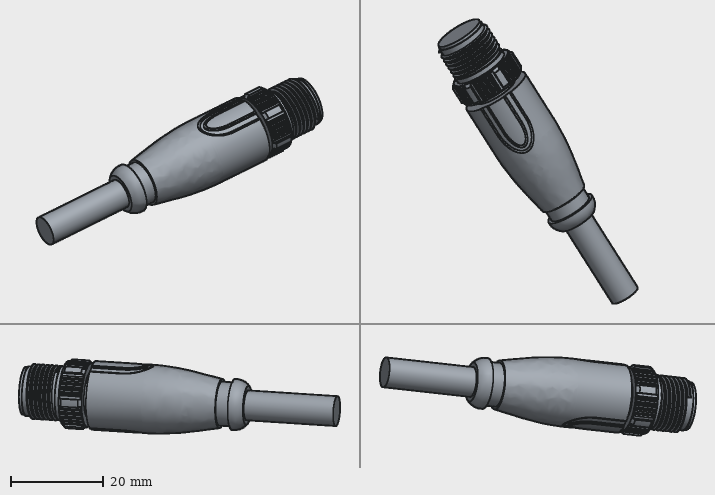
import cadquery as cq
import math

TOTAL_LENGTH = 69.7

NOSE_RADIUS = 5.2
NOSE_END = 0.7
THREAD_ROOT_RADIUS = 5.45
THREAD_CREST_RADIUS = 6.0
THREAD_START = 1.6
THREAD_LENGTH = 6.3
THREAD_TURNS = 6.3
THREAD_PITCH = THREAD_LENGTH / THREAD_TURNS
THREAD_ROOT_HALF_WIDTH = 0.4
THREAD_CREST_HALF_WIDTH = 0.1
THREAD_EMBED = 0.15
COLLAR_START = 8.15
COLLAR_RADIUS = 5.9

NUT_START = 9.3
NUT_END = 14.4
PAD_RADIUS = 7.6
RIB_RADIUS = 7.1
GROOVE_RADIUS = 6.8
NUT_CHAMFER = 0.7
PAD_COUNT = 6
PAD_HALF_ANGLE = 6.5
GROOVE_ANGLES = (15, 25, 35, 45)
GROOVE_TOP_HALF_ANGLE = 3.3
GROOVE_FLOOR_HALF_ANGLE = 0.9

NECK_RADIUS = 4.8
GRIP_START = 15.55
GRIP_DIAMETER = 15.0
GRIP_RADIUS = GRIP_DIAMETER / 2
GRIP_STRAIGHT_END = 27.9
GRIP_TAPER_START = 37.65
GRIP_TAPER_RADIUS = 6.55
GRIP_END = 43.85
GRIP_END_RADIUS = 5.4
RING_START = 46.7
RING_RADIUS = 5.6
RING_MIDDLE = 48.7
RING_MIDDLE_RADIUS = 5.15
RING_END = 49.8
RING_END_RADIUS = 4.25
CABLE_RADIUS = 3.3

BADGE_STRAIGHT = 7.0
BADGE_OVERRUN = 0.7
MOAT_DEPTH = 0.3
MOAT_HALF_WIDTH = 3.8
MOAT_LENGTH = 13.25
MOAT_SLOPE_HEIGHT = 0.2
MOAT_SLOPE_WIDTH = 0.5
STEP_DEPTH = 0.105
STEP_HALF_WIDTH = 2.4
STEP_LENGTH = 12.0
PANEL_HALF_WIDTH = 1.95
PANEL_LENGTH = 11.4


def make_turned_core():
    """Nose, collar, neck, grip, strain-relief ring and cable as one revolved profile."""
    grip_taper = [
        (GRIP_TAPER_RADIUS, -GRIP_TAPER_START),
        (GRIP_END_RADIUS, -GRIP_END),
    ]
    grip_end_slope = (GRIP_END_RADIUS - GRIP_TAPER_RADIUS, GRIP_TAPER_START - GRIP_END)
    return (
        cq.Workplane("XY")
        .lineTo(NOSE_RADIUS, 0)
        .lineTo(NOSE_RADIUS, -NOSE_END)
        .lineTo(THREAD_ROOT_RADIUS, -NOSE_END)
        .lineTo(THREAD_ROOT_RADIUS, -COLLAR_START)
        .lineTo(COLLAR_RADIUS, -COLLAR_START)
        .lineTo(COLLAR_RADIUS, -NUT_START)
        .lineTo(NECK_RADIUS, -NUT_START)
        .lineTo(NECK_RADIUS, -GRIP_START)
        .lineTo(GRIP_RADIUS, -GRIP_START)
        .lineTo(GRIP_RADIUS, -GRIP_STRAIGHT_END)
        .spline(grip_taper, tangents=[(0, -1), grip_end_slope], includeCurrent=True)
        .lineTo(NECK_RADIUS, -GRIP_END)
        .lineTo(NECK_RADIUS, -RING_START)
        .lineTo(RING_RADIUS, -RING_START)
        .threePointArc((RING_MIDDLE_RADIUS, -RING_MIDDLE), (RING_END_RADIUS, -RING_END))
        .lineTo(CABLE_RADIUS, -RING_END)
        .lineTo(CABLE_RADIUS, -TOTAL_LENGTH)
        .lineTo(0, -TOTAL_LENGTH)
        .close()
        .revolve(360, (0, 0), (0, 1))
    )


def make_thread():
    """Right-handed thread ridge, swept along Z and then laid along -Y."""
    inner_radius = THREAD_ROOT_RADIUS - THREAD_EMBED
    helix = cq.Wire.makeHelix(THREAD_PITCH, THREAD_LENGTH, inner_radius)
    ridge = (
        cq.Workplane("XZ")
        .moveTo(inner_radius, -THREAD_ROOT_HALF_WIDTH)
        .lineTo(THREAD_CREST_RADIUS, -THREAD_CREST_HALF_WIDTH)
        .lineTo(THREAD_CREST_RADIUS, THREAD_CREST_HALF_WIDTH)
        .lineTo(inner_radius, THREAD_ROOT_HALF_WIDTH)
        .close()
        .sweep(cq.Workplane(helix), isFrenet=True)
    )
    return ridge.rotate((0, 0, 0), (1, 0, 0), 90).translate((0, -THREAD_START, 0))


def polar_point(radius, degrees):
    angle = math.radians(degrees)
    return (radius * math.cos(angle), radius * math.sin(angle))


def nut_section():
    """Closed outline of wide round-topped pads with grooves between each neighbouring pair."""
    sector = 360 / PAD_COUNT
    first_point = polar_point(RIB_RADIUS, -PAD_HALF_ANGLE)
    outline = cq.Workplane("XZ", origin=(0, -NUT_START, 0)).moveTo(*first_point)
    for pad in range(PAD_COUNT):
        centre = pad * sector
        if pad > 0:
            outline = outline.lineTo(*polar_point(RIB_RADIUS, centre - PAD_HALF_ANGLE))
        outline = outline.lineTo(*polar_point(PAD_RADIUS, centre - PAD_HALF_ANGLE))
        outline = outline.threePointArc(
            polar_point(PAD_RADIUS, centre),
            polar_point(PAD_RADIUS, centre + PAD_HALF_ANGLE),
        )
        outline = outline.lineTo(*polar_point(RIB_RADIUS, centre + PAD_HALF_ANGLE))
        for groove in GROOVE_ANGLES:
            middle = centre + groove
            outline = (
                outline
                .lineTo(*polar_point(RIB_RADIUS, middle - GROOVE_TOP_HALF_ANGLE))
                .lineTo(*polar_point(GROOVE_RADIUS, middle - GROOVE_FLOOR_HALF_ANGLE))
                .lineTo(*polar_point(GROOVE_RADIUS, middle + GROOVE_FLOOR_HALF_ANGLE))
                .lineTo(*polar_point(RIB_RADIUS, middle + GROOVE_TOP_HALF_ANGLE))
            )
    return outline.close()


def cylinder_along_y(radius, start, end):
    return cq.Workplane("XZ", origin=(0, -start, 0)).circle(radius).extrude(end - start)


def make_nut():
    """Knurled nut, with both rims chamfered across the knurl."""
    knurl = nut_section().extrude(NUT_END - NUT_START)
    envelope = cylinder_along_y(PAD_RADIUS, NUT_START, NUT_END).edges().chamfer(NUT_CHAMFER)
    return knurl.intersect(envelope)


def badge_block(half_width, length, inner_radius):
    """Tongue-shaped block on the +Z side, hollowed by a cylinder and rounded toward the cable."""
    front = -(GRIP_START - BADGE_OVERRUN)
    shoulder = -(GRIP_START + BADGE_STRAIGHT)
    tongue = (
        cq.Workplane("XY")
        .moveTo(-half_width, shoulder)
        .lineTo(-half_width, front)
        .lineTo(half_width, front)
        .lineTo(half_width, shoulder)
        .ellipseArc(half_width, length - BADGE_STRAIGHT, 180, 360, startAtCurrent=True, sense=-1)
        .close()
        .extrude(GRIP_RADIUS + BADGE_OVERRUN)
    )
    return tongue.cut(cylinder_along_y(inner_radius, 0, TOTAL_LENGTH))


def make_badge_recess():
    """Sloped moat of the badge, leaving a low step and the panel standing inside it."""
    floor_radius = GRIP_RADIUS - MOAT_DEPTH
    moat = badge_block(MOAT_HALF_WIDTH, MOAT_LENGTH, floor_radius)
    moat = moat.faces("%CYLINDER").edges().chamfer(MOAT_SLOPE_WIDTH, MOAT_SLOPE_HEIGHT)
    step = badge_block(STEP_HALF_WIDTH, STEP_LENGTH, floor_radius)
    above_step = badge_block(STEP_HALF_WIDTH, STEP_LENGTH, GRIP_RADIUS - STEP_DEPTH)
    panel = badge_block(PANEL_HALF_WIDTH, PANEL_LENGTH, floor_radius)
    return moat.cut(step).union(above_step).cut(panel)


recess = make_badge_recess()
result = make_turned_core().union(make_thread()).union(make_nut())
result = result.cut(recess).cut(recess.mirror("XY"))